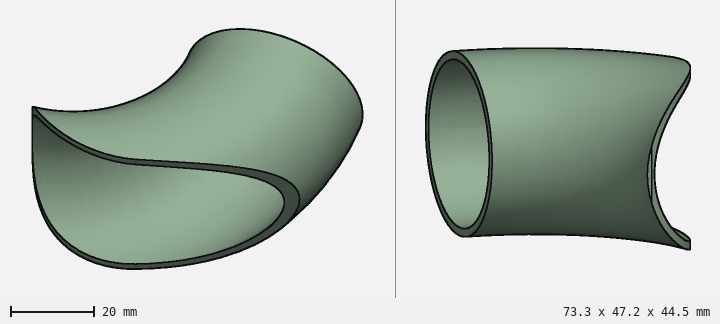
import cadquery as cq
import math

outer_reach = 73.25
tube_diameter = 44.5
wall = 2.0
tube_radius = tube_diameter / 2
bore_radius = tube_radius - wall
bend_radius = outer_reach - tube_radius

depth = 47.2
small_arc_radius = 25.65
small_arc_x = 24.25
small_arc_y = small_arc_radius - depth
seam_x = 31.8
long_arc_radius = 131.85

cut_margin = 7.3


def quarter_torus(section_radius):
    """Solid quarter bend running from the +X axis round to the -Y axis."""
    section = cq.Workplane("XZ").center(bend_radius, 0).circle(section_radius)
    return section.revolve(90, (-bend_radius, 0, 0), (-bend_radius, -1, 0))


def on_circle(center, radius, angle):
    return (center[0] + radius * math.cos(angle), center[1] + radius * math.sin(angle))


def saddle_cutter():
    """Everything below the two tangent arcs, through the full height of the tube."""
    small_center = (small_arc_x, small_arc_y)
    seam_angle = -math.acos((seam_x - small_arc_x) / small_arc_radius)
    long_center = on_circle(small_center, small_arc_radius - long_arc_radius, seam_angle)

    start = (small_arc_x - small_arc_radius, small_arc_y)
    start_middle = on_circle(small_center, small_arc_radius, (seam_angle - math.pi) / 2)
    seam = on_circle(small_center, small_arc_radius, seam_angle)

    right = outer_reach + cut_margin
    end_angle = -math.acos((right - long_center[0]) / long_arc_radius)
    end_middle = on_circle(long_center, long_arc_radius, (seam_angle + end_angle) / 2)
    end = on_circle(long_center, long_arc_radius, end_angle)

    left = -cut_margin
    bottom = -outer_reach - cut_margin
    outline = (
        cq.Workplane("XY")
        .moveTo(left, small_arc_y)
        .lineTo(*start)
        .threePointArc(start_middle, seam)
        .threePointArc(end_middle, end)
        .lineTo(right, bottom)
        .lineTo(left, bottom)
        .close()
    )
    return outline.extrude(tube_radius + cut_margin, both=True)


elbow = quarter_torus(tube_radius).cut(quarter_torus(bore_radius))
result = elbow.cut(saddle_cutter())